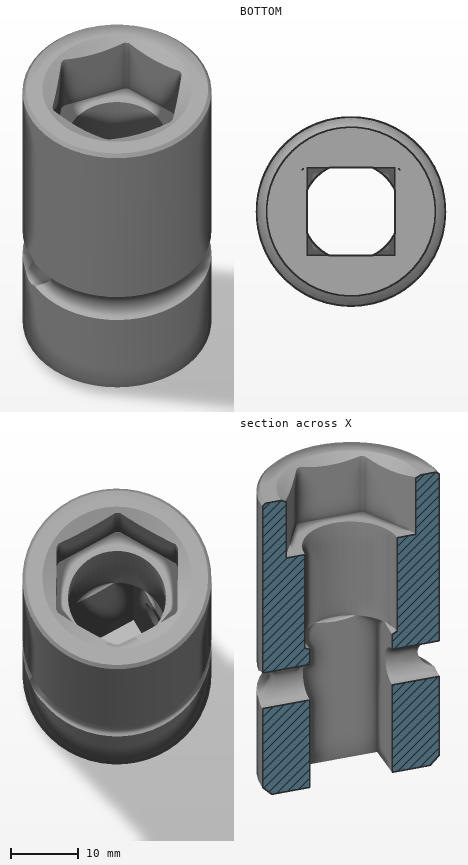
import cadquery as cq
import math

length = 50.0
outer_radius = 14.0
top_chamfer = 0.5
bottom_chamfer = 1.5

groove_height = 18.0
groove_width = 4.8
groove_depth = 2.0
pin_hole_diameter = 6.0

hex_across_flats = 18.0
hex_corner_radius = 10.2
hex_depth = 10.0
countersink_radius = 11.05
cone_slope = math.radians(27)

square_size = 13.0
square_depth = 24.0
bore_radius = 7.25


def make_body():
    """Revolved outer shape with chamfered ends and a round-bottomed groove."""
    groove_bottom = groove_height - groove_width / 2
    groove_top = groove_height + groove_width / 2
    return (
        cq.Workplane("XZ")
        .lineTo(outer_radius - bottom_chamfer, 0)
        .lineTo(outer_radius, bottom_chamfer)
        .lineTo(outer_radius, groove_bottom)
        .threePointArc((outer_radius - groove_depth, groove_height), (outer_radius, groove_top))
        .lineTo(outer_radius, length - top_chamfer)
        .lineTo(outer_radius - top_chamfer, length)
        .lineTo(0, length)
        .close()
        .revolve(360, (0, 0, 0), (0, 1, 0))
    )


def make_hex_socket():
    """Hexagon pocket with two corners on the Y axis and trimmed corner edges."""
    floor = cq.Workplane("XY").workplane(offset=length - hex_depth)
    sharp_diameter = hex_across_flats / math.cos(math.pi / 6)
    hexagon = floor.transformed(rotate=(0, 0, 90)).polygon(6, sharp_diameter).extrude(hex_depth)
    return hexagon.intersect(floor.circle(hex_corner_radius).extrude(hex_depth))


def make_cone(radius, top):
    """Downward-pointing cone whose base lies at the height `top`."""
    return (
        cq.Workplane("XZ")
        .moveTo(0, top)
        .lineTo(radius, top)
        .lineTo(0, top - radius * math.tan(cone_slope))
        .close()
        .revolve(360, (0, 0, 0), (0, 1, 0))
    )


def make_countersink():
    """Conical lead-in at the mouth of the hexagon."""
    return make_cone(countersink_radius, length)


def make_bore():
    """Round bore below the hexagon, ending in a cone that leads into the square."""
    bore_length = length - hex_depth - square_depth
    bore = cq.Workplane("XY").workplane(offset=square_depth).circle(bore_radius).extrude(bore_length)
    return bore.union(make_cone(bore_radius, square_depth))


def make_square_drive():
    """Square pocket from the bottom face up to the end of the round bore."""
    return cq.Workplane("XY").rect(square_size, square_size).extrude(square_depth)


def make_pin_hole():
    """Round hole through both walls along Y."""
    return (
        cq.Workplane("XZ", origin=(0, 0, groove_height))
        .circle(pin_hole_diameter / 2)
        .extrude(outer_radius, both=True)
    )


result = (
    make_body()
    .cut(make_hex_socket())
    .cut(make_countersink())
    .cut(make_bore())
    .cut(make_square_drive())
    .cut(make_pin_hole())
)